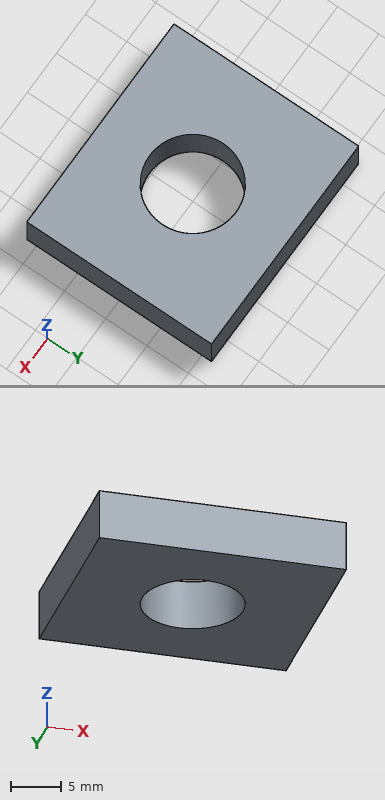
import cadquery as cq

length = 25.4
width = 22.35
thickness = 5.25
hole_diameter = 10.41

plate = cq.Workplane("XY").box(length, width, thickness)
result = plate.faces(">Z").workplane().hole(hole_diameter)